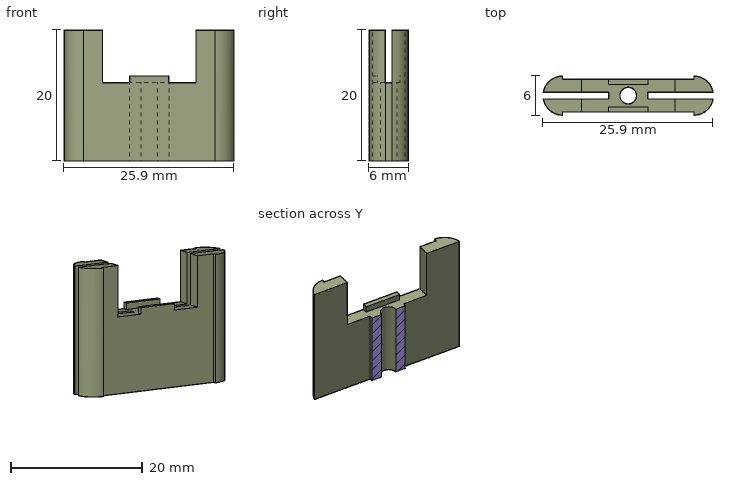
import cadquery as cq

height = 20.0
plate_thickness = 5.0
rail_radius = 3.0
rail_center_x = 10.0

slot_width = 1.0
web_length = 6.0

notch_width = 14.2
floor_z = 12.0

wall_length = web_length
wall_height = 1.0
wall_inner_gap = 3.4

hole_diameter = 2.5


def make_rail(side):
    """Half-round rail on one end; side is -1 or +1 along X."""
    rail = cq.Workplane("XY").center(side * rail_center_x, 0).circle(rail_radius).extrude(height)
    outer_half = (
        cq.Workplane("XY")
        .center(side * (rail_center_x + rail_radius / 2), 0)
        .rect(rail_radius, 2 * rail_radius)
        .extrude(height)
    )
    return rail.intersect(outer_half)


def make_body():
    """Flat plate with a half-round rail along both vertical edges."""
    body = cq.Workplane("XY").rect(2 * rail_center_x, plate_thickness).extrude(height)
    for side in (-1, 1):
        body = body.union(make_rail(side))
    return body


def make_notch():
    """Volume removed between the arms, leaving the two raised walls standing."""
    floor = cq.Workplane("XY").workplane(offset=floor_z)
    notch = floor.rect(notch_width, plate_thickness).extrude(height - floor_z)
    walls = floor.rect(wall_length, plate_thickness).extrude(wall_height)
    gap = floor.rect(wall_length, wall_inner_gap).extrude(wall_height)
    return notch.cut(walls.cut(gap))


def make_end_slot(side):
    """Full-height slot running from the outer end in to the central web."""
    slot_length = rail_center_x + rail_radius - web_length / 2
    slot_center_x = side * (web_length + slot_length) / 2
    return cq.Workplane("XY").center(slot_center_x, 0).rect(slot_length, slot_width).extrude(height)


def make_hole():
    """Vertical through hole in the central web."""
    return cq.Workplane("XY").circle(hole_diameter / 2).extrude(height)


result = make_body().cut(make_notch())
for end in (-1, 1):
    result = result.cut(make_end_slot(end))
result = result.cut(make_hole())